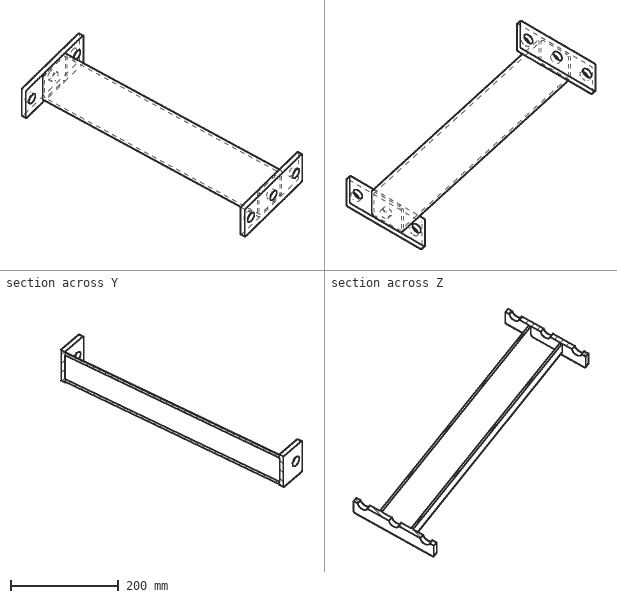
import cadquery as cq

total_length = 517.5
plate_width = 180.0
plate_height = 75.0

plate_thickness = 10.0
plate_corner_radius = 4.0
hole_diameter = 20.0
hole_spacing = 70.0

tube_side = plate_height
tube_outer_radius = 11.5
tube_wall = 5.0
tube_inner_radius = tube_outer_radius - tube_wall
tube_length = total_length - 2 * plate_thickness


def rounded_bar(start_x, length, width, height, corner_radius):
    """Bar along X, centred on the X axis, with its four long edges rounded."""
    return (
        cq.Workplane("YZ", origin=(start_x, 0, 0))
        .rect(width, height)
        .extrude(length)
        .edges("|X")
        .fillet(corner_radius)
    )


def make_tube():
    """Hollow square tube that spans the gap between the end plates."""
    start_x = -tube_length / 2
    bore_side = tube_side - 2 * tube_wall
    outside = rounded_bar(start_x, tube_length, tube_side, tube_side, tube_outer_radius)
    bore = rounded_bar(start_x, tube_length, bore_side, bore_side, tube_inner_radius)
    return outside.cut(bore)


def make_end_plate(start_x):
    """Plate with a row of three through holes along Y."""
    plate = rounded_bar(start_x, plate_thickness, plate_width, plate_height, plate_corner_radius)
    holes = (
        cq.Workplane("YZ", origin=(start_x, 0, 0))
        .pushPoints([(-hole_spacing, 0), (0, 0), (hole_spacing, 0)])
        .circle(hole_diameter / 2)
        .extrude(plate_thickness)
    )
    return plate.cut(holes)


tube = make_tube()
end_plates = [make_end_plate(start_x) for start_x in (-total_length / 2, tube_length / 2)]

result = cq.Compound.makeCompound([tube.val(), *[plate.val() for plate in end_plates]])